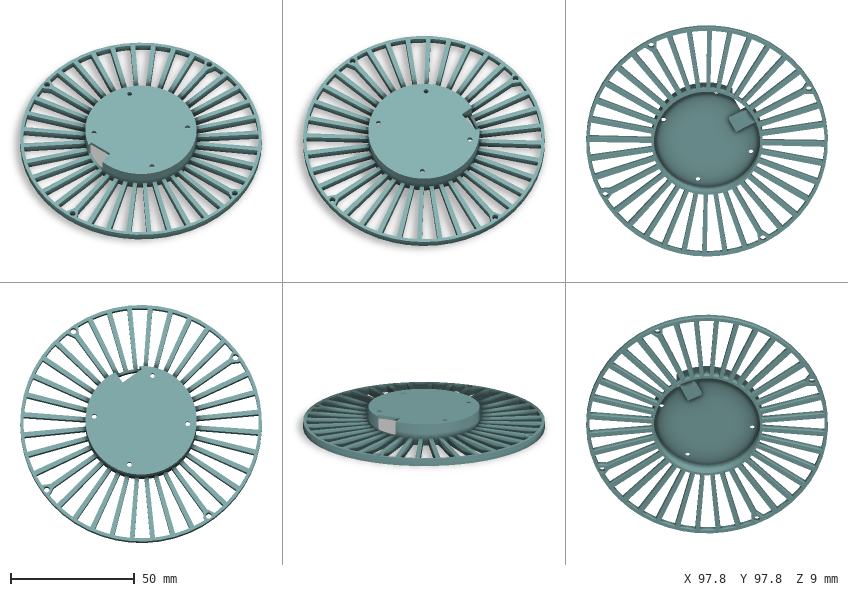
import cadquery as cq
import math

wheel_diameter = 97.8
wheel_height = 3.0
rim_width = 1.4
spoke_count = 36
spoke_hub_width = 1.7
spoke_rim_width = 2.0

mount_count = 4
mount_hole_diameter = 2.4
mount_hole_radius = 46.9
flare_start_radius = 44.4
flare_start_width = spoke_rim_width
flare_end_width = 5.3

hub_diameter = 45.0
hub_bore_diameter = 43.0
total_height = 9.0
top_thickness = 1.5
top_hole_diameter = 2.0
top_hole_spacing_x = 28.9
top_hole_spacing_y = 24.45
top_hole_offset_y = -0.1

notch_left = -12.5
notch_right = -3.0
notch_back = -17.0

block_bottom = 4.0
block_back = -11.7

full_turn = 360.0
rim_inner_radius = wheel_diameter / 2 - rim_width
hub_radius = hub_diameter / 2
bore_radius = hub_bore_diameter / 2
cavity_top = total_height - top_thickness
block_width = -2 * notch_right
block_front = -math.sqrt(bore_radius**2 - notch_right**2)


def tapered_bar(start_radius, end_radius, start_width, end_width):
    """Radial bar along +X whose width changes evenly from one end to the other."""
    return (
        cq.Workplane("XY")
        .moveTo(start_radius, -start_width / 2)
        .lineTo(end_radius, -end_width / 2)
        .lineTo(end_radius, end_width / 2)
        .lineTo(start_radius, start_width / 2)
        .close()
        .extrude(wheel_height)
    )


def make_wheel():
    """Rim, spokes and flares, with the mounting holes drilled through."""
    wheel = (
        cq.Workplane("XY")
        .circle(wheel_diameter / 2)
        .circle(rim_inner_radius)
        .extrude(wheel_height)
    )
    spoke_start = (hub_radius + bore_radius) / 2
    spoke_end = rim_inner_radius + rim_width / 2
    spoke = tapered_bar(spoke_start, spoke_end, spoke_hub_width, spoke_rim_width)
    for i in range(spoke_count):
        wheel = wheel.union(spoke.rotate((0, 0, 0), (0, 0, 1), i * full_turn / spoke_count))

    flare = tapered_bar(flare_start_radius, rim_inner_radius, flare_start_width, flare_end_width)
    for i in range(mount_count):
        wheel = wheel.union(flare.rotate((0, 0, 0), (0, 0, 1), i * full_turn / mount_count))

    mount_holes = (
        cq.Workplane("XY")
        .polarArray(mount_hole_radius, 0, full_turn, mount_count)
        .circle(mount_hole_diameter / 2)
        .extrude(wheel_height)
    )
    return wheel.cut(mount_holes)


def make_hub():
    """Cup with four holes in its top and the cable notch in its front."""
    hub = cq.Workplane("XY").circle(hub_radius).extrude(total_height)
    cavity = cq.Workplane("XY").circle(bore_radius).extrude(cavity_top)
    top_holes = (
        cq.Workplane("XY")
        .center(0, top_hole_offset_y)
        .rarray(top_hole_spacing_x, top_hole_spacing_y, 2, 2)
        .circle(top_hole_diameter / 2)
        .extrude(total_height)
    )
    notch = cq.Workplane("XY").box(
        notch_right - notch_left,
        hub_radius + notch_back,
        total_height - wheel_height,
        centered=False,
    ).translate((notch_left, -hub_radius, wheel_height))
    return hub.cut(cavity).cut(top_holes).cut(notch)


def make_housing():
    """Wheel and hub in one piece."""
    return make_hub().union(make_wheel())


def make_block():
    """Plain block between the notch and its mirror image, reaching the hub wall."""
    return cq.Workplane("XY").box(
        block_width,
        block_back - block_front,
        cavity_top - block_bottom,
        centered=False,
    ).translate((notch_right, block_front, block_bottom))


housing = make_housing()
block = make_block()

result = cq.Compound.makeCompound([housing.val(), block.val()])